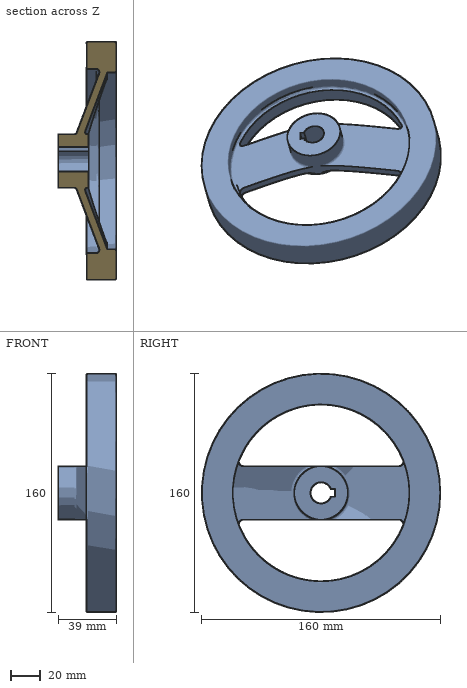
import cadquery as cq
import math

RIM_DIAMETER = 160.0
RIM_WIDTH = 20.0
RIM_FRONT = 19.0
RIM_BACK = RIM_FRONT + RIM_WIDTH
RIM_BORE_DIAMETER = 118.4
RIM_FRONT_BORE_DIAMETER = 123.28
RIM_EDGE_RADIUS = 1.0

HUB_DIAMETER = 36.0
HUB_BACK = 20.5

WEB_FRONT_AT_HUB = 12.0
WEB_THICKNESS = 5.5
WEB_ANGLE = 20.7
HUB_FILLET = 1.5
RIM_FILLET = 2.0

SPOKE_WIDTH = HUB_DIAMETER
WINDOW_CORNER_RADIUS = 3.0

SHAFT_DIAMETER = 14.0
KEY_WIDTH = 5.0
KEY_TOP = 9.3

HUB_RADIUS = HUB_DIAMETER / 2
RIM_RADIUS = RIM_DIAMETER / 2
RIM_BORE_RADIUS = RIM_BORE_DIAMETER / 2
RIM_FRONT_BORE_RADIUS = RIM_FRONT_BORE_DIAMETER / 2


def web_front(radius):
    """X of the front cone of the web at a given radius."""
    return WEB_FRONT_AT_HUB + (radius - HUB_RADIUS) * math.tan(math.radians(WEB_ANGLE))


def web_back(radius):
    """X of the back cone of the web at a given radius."""
    return web_front(radius) + WEB_THICKNESS


def fillet_corner(face, corner, radius):
    """Round one corner of a flat profile, given as its (x, radius) position."""
    vertex = cq.Workplane(face).vertices(cq.selectors.NearestToPointSelector((*corner, 0))).val()
    return face.fillet2D(radius, [vertex])


def make_wheel():
    """Revolve hub, closed web and rim in one piece around the X axis."""
    hub_front_corner = (web_front(HUB_RADIUS), HUB_RADIUS)
    hub_back_corner = (web_back(HUB_RADIUS), HUB_RADIUS)
    rim_web_corner = (web_front(RIM_FRONT_BORE_RADIUS), RIM_FRONT_BORE_RADIUS)
    rim_bore_edge = (RIM_FRONT, RIM_FRONT_BORE_RADIUS)
    rim_front_edge = (RIM_FRONT, RIM_RADIUS)
    rim_back_edge = (RIM_BACK, RIM_RADIUS)
    rim_bore_back_edge = (RIM_BACK, RIM_BORE_RADIUS)
    outline = [
        (0, 0),
        (0, HUB_RADIUS),
        hub_front_corner,
        rim_web_corner,
        rim_bore_edge,
        rim_front_edge,
        rim_back_edge,
        rim_bore_back_edge,
        (web_back(RIM_BORE_RADIUS), RIM_BORE_RADIUS),
        hub_back_corner,
        (HUB_BACK, HUB_RADIUS),
        (HUB_BACK, 0),
    ]
    face = cq.Face.makeFromWires(cq.Workplane("XY").polyline(outline).close().val())
    for corner in (hub_front_corner, hub_back_corner):
        face = fillet_corner(face, corner, HUB_FILLET)
    face = fillet_corner(face, rim_web_corner, RIM_FILLET)
    for corner in (rim_bore_edge, rim_front_edge, rim_back_edge, rim_bore_back_edge):
        face = fillet_corner(face, corner, RIM_EDGE_RADIUS)
    wheel = cq.Solid.revolve(face, 360, cq.Vector(0, 0, 0), cq.Vector(1, 0, 0))
    return cq.Workplane(wheel)


def make_window():
    """Cutter for the opening above the spokes: a circle segment with rounded corners."""
    disc = cq.Workplane("YZ").circle(RIM_BORE_RADIUS).extrude(RIM_BACK)
    upper_part = (
        cq.Workplane("XY", origin=(0, 0, SPOKE_WIDTH / 2))
        .box(RIM_BACK, RIM_BORE_DIAMETER, RIM_BORE_RADIUS, centered=(False, True, False))
    )
    return disc.intersect(upper_part).edges("|X").fillet(WINDOW_CORNER_RADIUS)


def make_keyed_bore():
    bore = cq.Workplane("YZ").circle(SHAFT_DIAMETER / 2).extrude(HUB_BACK)
    keyway = cq.Workplane("XY").box(HUB_BACK, KEY_TOP, KEY_WIDTH, centered=(False, False, True))
    return bore.union(keyway)


window = make_window()
result = make_wheel().cut(window).cut(window.mirror("XY")).cut(make_keyed_bore())